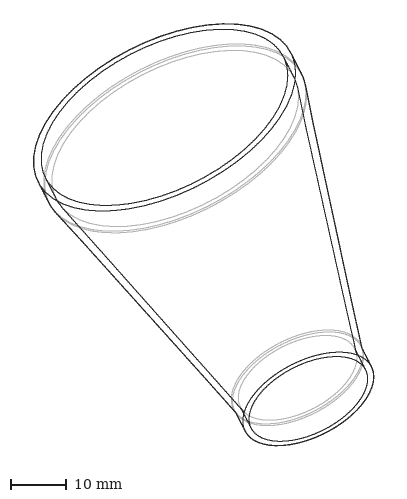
import cadquery as cq

length = 67.0
collar_length = 5.0
wide_outer_diameter = 50.8
wide_inner_diameter = 47.8
narrow_outer_diameter = 25.4
narrow_inner_diameter = 23.0
blend_radius = 2.0

wide_bend = collar_length
narrow_bend = length - collar_length


def reducer_body(wide_diameter, narrow_diameter):
    """Solid of revolution about X: wide collar, cone, narrow collar."""
    wide_radius = wide_diameter / 2
    narrow_radius = narrow_diameter / 2
    return (
        cq.Workplane("XY")
        .moveTo(0, 0)
        .lineTo(0, wide_radius)
        .lineTo(wide_bend, wide_radius)
        .lineTo(narrow_bend, narrow_radius)
        .lineTo(length, narrow_radius)
        .lineTo(length, 0)
        .close()
        .revolve(360, (0, 0, 0), (1, 0, 0))
    )


def bend_edges(body):
    """The two circles where the cone meets the collars."""
    middle = cq.selectors.BoxSelector(
        (wide_bend / 2, -wide_outer_diameter, -wide_outer_diameter),
        (length - collar_length / 2, wide_outer_diameter, wide_outer_diameter),
        boundingbox=True,
    )
    return body.edges("%CIRCLE").edges(middle)


outside = bend_edges(reducer_body(wide_outer_diameter, narrow_outer_diameter)).fillet(blend_radius)
bore = reducer_body(wide_inner_diameter, narrow_inner_diameter)

result = outside.cut(bore)